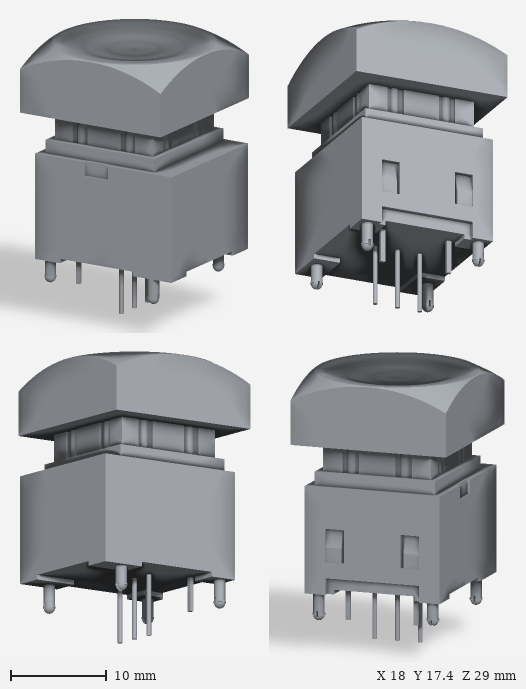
import cadquery as cq
import math


top_z = 29.0
cap_bottom_z = 22.07
collar_top_z = 18.95
body_top_z = 17.52
body_bottom_z = 6.0

cap_side = 17.4
dome_rim_radius = 8.55
cap_corner_drop = 2.2
dish_radius = 8.05
dish_depth = 0.87
stem_side = 12.05
stem_groove_width = 1.85
stem_groove_depth = 0.3
stem_groove_offset = 2.95
stem_rod_diameter = 1.2

body_half_depth = 7.55
body_left_x = -7.55
body_right_x = 9.3
collar_side = 13.5
stem_clearance = 0.12
key_notch_width = 2.95
key_notch_height = 1.55
key_notch_depth = 0.32
channel_width = 9.05
channel_height = 0.5

latch_recess_depth = 0.6
latch_setback = 0.1
latch_outer_y = 5.25
latch_window_width = 2.1
latch_width = 1.77
latch_bottom_z = 9.5
latch_window_top_z = 13.1
latch_ramp_top_z = 13.0
latch_ramp_bottom_z = 11.1
foot_recess_top_z = 7.8

post_offset = 6.38
post_diameter = 1.2
post_radius = post_diameter / 2
lip_spread = 0.1
lip_height = 0.17
short_post_lip_z = 3.97
long_post_lip_z = 3.6
post_slit_width = 0.25
post_slit_top_z = 4.1
long_post_slit_floor_z = 3.4

round_pin_diameter = 0.5
round_pin_pitch = 2.55
flat_pin_x = -4.5
flat_pin_y = 3.8
flat_pin_thickness = 0.4
flat_pin_width = 0.5
flat_pin_bottom_z = 2.87


def box(x0, x1, y0, y1, z0, z1):
    """Box between two limits along each axis."""
    return cq.Workplane("XY").box(x1 - x0, y1 - y0, z1 - z0, centered=False).translate((x0, y0, z0))


def square_block(side, z0, z1):
    """Square block centred on the stem axis."""
    half = side / 2
    return box(-half, half, -half, half, z0, z1)


def rod(radius, x, y, z0, z1):
    """Upright cylinder."""
    return cq.Workplane("XY", origin=(x, y, z0)).circle(radius).extrude(z1 - z0)


def make_cap():
    """Square cap with a spherical fall towards the corners and a spherical dish in the top."""
    corner_radius = cap_side / math.sqrt(2)
    radius_gap = corner_radius**2 - dome_rim_radius**2
    rim_above_centre = (radius_gap / cap_corner_drop + cap_corner_drop) / 2
    dome_radius = math.hypot(dome_rim_radius, rim_above_centre)
    dome = cq.Workplane("XY").sphere(dome_radius).translate((0, 0, top_z - rim_above_centre))
    dish_sphere_radius = (dish_radius**2 + dish_depth**2) / (2 * dish_depth)
    dish_centre_z = top_z - dish_depth + dish_sphere_radius
    dish = cq.Workplane("XY").sphere(dish_sphere_radius).translate((0, 0, dish_centre_z))
    return square_block(cap_side, cap_bottom_z, top_z).intersect(dome).cut(dish)


def make_stem():
    """Square stem with two grooves in each side and a round rod partly sunk in every groove floor."""
    stem = square_block(stem_side, body_top_z, cap_bottom_z)
    face = stem_side / 2
    half_groove = stem_groove_width / 2
    rod_radius = stem_rod_diameter / 2
    for turn in range(4):
        for x in (-stem_groove_offset, stem_groove_offset):
            groove = box(x - half_groove, x + half_groove, -face, -face + stem_groove_depth,
                         body_top_z, cap_bottom_z)
            stem_rod = rod(rod_radius, x, -face + rod_radius, body_top_z, cap_bottom_z)
            axis = ((0, 0, 0), (0, 0, 1), 90 * turn)
            stem = stem.cut(groove.rotate(*axis)).union(stem_rod.rotate(*axis))
    return stem


def make_body():
    """Housing block with the collar, the stem opening, the key notch and the bottom channels."""
    body = box(body_left_x, body_right_x, -body_half_depth, body_half_depth, body_bottom_z, body_top_z)
    collar = square_block(collar_side, body_top_z, collar_top_z)
    opening = square_block(stem_side + 2 * stem_clearance, body_top_z, collar_top_z)
    body = body.union(collar.cut(opening))
    half_notch = key_notch_width / 2
    key_notch = box(-half_notch, half_notch, -body_half_depth, -body_half_depth + key_notch_depth,
                    body_top_z - key_notch_height, body_top_z)
    half_channel = channel_width / 2
    channel_top_z = body_bottom_z + channel_height
    channel_along_x = box(body_left_x, body_right_x, -half_channel, half_channel,
                          body_bottom_z, channel_top_z)
    channel_along_y = box(-half_channel, half_channel, -body_half_depth, body_half_depth,
                          body_bottom_z, channel_top_z)
    return body.cut(key_notch).cut(channel_along_x).cut(channel_along_y)


def add_latches(body):
    """Cut the foot recess and two windows in the -X side and put a ramped latch in each window."""
    recess_x = body_left_x + latch_recess_depth
    latch_x = body_left_x + latch_setback
    body = body.cut(box(body_left_x, recess_x, -latch_outer_y, latch_outer_y,
                        body_bottom_z, foot_recess_top_z))
    window = box(body_left_x, recess_x, latch_outer_y - latch_window_width, latch_outer_y,
                 latch_bottom_z, latch_window_top_z)
    latch = (
        cq.Workplane("XZ", origin=(0, latch_outer_y, 0))
        .moveTo(recess_x, latch_bottom_z)
        .lineTo(latch_x, latch_bottom_z)
        .lineTo(latch_x, latch_ramp_bottom_z)
        .lineTo(recess_x, latch_ramp_top_z)
        .close()
        .extrude(latch_width)
    )
    clear_space = window.cut(latch)
    return body.cut(clear_space).cut(clear_space.mirror("XZ"))


def make_post(x, y, lip_z, slit_floor_z):
    """Round mounting post with a lip spread along Y, a domed tip and a slit along X through the tip."""
    post = rod(post_radius, x, y, lip_z, body_bottom_z)
    for spread in (-lip_spread, lip_spread):
        post = post.union(rod(post_radius, x, y + spread, lip_z, lip_z + lip_height))
    tip = cq.Workplane("XY").sphere(post_radius).translate((x, y, lip_z))
    half_slit = post_slit_width / 2
    slit = box(x - post_radius, x + post_radius, y - half_slit, y + half_slit,
               slit_floor_z, post_slit_top_z)
    return post.union(tip).cut(slit)


def add_posts(body):
    """Put a post under each corner: short and long posts alternate around the housing."""
    for side_x in (-1, 1):
        for side_y in (-1, 1):
            is_short = side_x == side_y
            lip_z = short_post_lip_z if is_short else long_post_lip_z
            slit_floor_z = lip_z - post_radius if is_short else long_post_slit_floor_z
            body = body.union(make_post(side_x * post_offset, side_y * post_offset, lip_z, slit_floor_z))
    return body


def add_pins(body):
    """Put three long round pins and two short flat pins under the housing."""
    pin_top_z = body_bottom_z + channel_height
    for row in (-1, 0, 1):
        body = body.union(rod(round_pin_diameter / 2, 0, row * round_pin_pitch, 0, pin_top_z))
    half_thickness = flat_pin_thickness / 2
    half_width = flat_pin_width / 2
    for y in (-flat_pin_y, flat_pin_y):
        body = body.union(box(flat_pin_x - half_thickness, flat_pin_x + half_thickness,
                              y - half_width, y + half_width, flat_pin_bottom_z, pin_top_z))
    return body


button = make_cap().union(make_stem())
housing = add_pins(add_posts(add_latches(make_body())))

result = cq.Compound.makeCompound([button.solids().val(), housing.solids().val()])